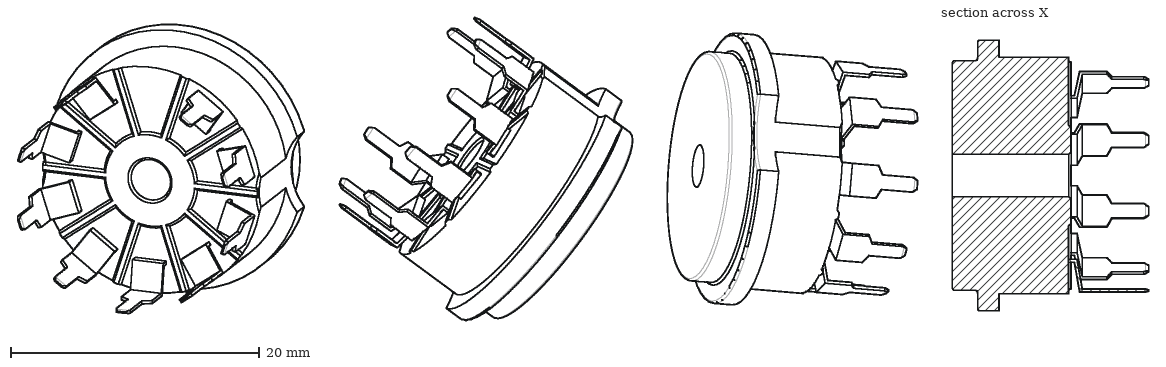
import cadquery as cq
import math


FLANGE_RADIUS = 10.9
FLANGE_THICKNESS = 1.73
BODY_RADIUS = 9.52
BODY_DEPTH = 5.6
RING_RADIUS = 9.25
RING_HEIGHT = 2.04
EDGE_ROUND = 0.2
BORE_RADIUS = 1.7
BORE_CHAMFER = 0.2

RELIEF_HEIGHT = 0.2
HUB_RADIUS = 3.85
RIB_WIDTH = 0.4
SECTORS = 10
SECTOR_ANGLE = 360 / SECTORS

NOTCH_RADIUS = 5.0
NOTCH_DEPTH_RADIUS = 9.28
NOTCH_CENTRE = NOTCH_DEPTH_RADIUS + NOTCH_RADIUS
NOTCH_CHAMFER = 0.2

STRIP_THICKNESS = 0.27
STUB_RADIUS = 6.71
LEG_RADIUS = 9.11
SLANT_ANGLE = 10
STUB_BEND_DEPTH = 6.27
PIN_WIDTH = 2.65
TAIL_WIDTH = 1.2
SHOULDER_START = 8.67
SHOULDER_END = 9.07
PIN_END = 12.04
TIP_WIDTH = 0.7
TIP_LENGTH = 0.4
TIP_BEVEL_LENGTH = 0.3
TIP_BEVEL = 0.08

FACE_DEPTH = BODY_DEPTH + RELIEF_HEIGHT


def disc(radius, y_start, y_end):
    """Cylinder about the Y axis between two Y positions."""
    return cq.Workplane("XZ", origin=(0, y_start, 0)).circle(radius).extrude(y_start - y_end)


def notch_cutter(side, y_start, y_end):
    """Cylinder that scoops one side of the socket."""
    return disc(NOTCH_RADIUS, y_start, y_end).translate((side * NOTCH_CENTRE, 0, 0))


def cut_notches(shape, y_start, y_end):
    for side in (-1, 1):
        shape = shape.cut(notch_cutter(side, y_start, y_end))
    return shape


def make_flange():
    """Notched flange with a rounded back edge."""
    flange = cut_notches(disc(FLANGE_RADIUS, 0, FLANGE_THICKNESS), 0, FLANGE_THICKNESS)
    return flange.faces(">Y").edges().fillet(EDGE_ROUND)


def make_ring():
    """Valve-side ring with a rounded rim and a fillet where it meets the flange."""
    rim = RING_RADIUS
    base = FLANGE_THICKNESS
    top = base + RING_HEIGHT
    ring = (
        cq.Workplane("XY")
        .moveTo(0, base)
        .lineTo(rim + EDGE_ROUND, base)
        .radiusArc((rim, base + EDGE_ROUND), EDGE_ROUND)
        .lineTo(rim, top - EDGE_ROUND)
        .radiusArc((rim - EDGE_ROUND, top), -EDGE_ROUND)
        .lineTo(0, top)
        .close()
        .revolve(360, (0, 0, 0), (0, 1, 0))
    )
    return cut_notches(ring, base, top)


def make_front_body():
    """Notched cylinder in front of the flange, chamfered along the notches."""
    body = cut_notches(disc(BODY_RADIUS, 0, -BODY_DEPTH), 0, -BODY_DEPTH)
    for side in ("<X", ">X"):
        body = body.faces("<Y").edges(side).chamfer(NOTCH_CHAMFER)
    return body


def make_hub():
    """Raised disc around the bore with a sloping edge."""
    return (
        cq.Workplane("XZ", origin=(0, -BODY_DEPTH, 0))
        .circle(HUB_RADIUS + RELIEF_HEIGHT)
        .workplane(offset=RELIEF_HEIGHT)
        .circle(HUB_RADIUS)
        .loft(ruled=True)
    )


def make_ribs():
    """Sloped ribs that part the front face into sectors."""
    half_top = RIB_WIDTH / 2
    half_base = half_top + RELIEF_HEIGHT
    rib = (
        cq.Workplane("YZ")
        .polyline(
            [
                (-BODY_DEPTH, -half_base),
                (-FACE_DEPTH, -half_top),
                (-FACE_DEPTH, half_top),
                (-BODY_DEPTH, half_base),
            ]
        )
        .close()
        .extrude(FLANGE_RADIUS)
    )
    ribs = rib
    for sector in range(1, SECTORS):
        ribs = ribs.union(rib.rotate((0, 0, 0), (0, 1, 0), sector * SECTOR_ANGLE))
    ribs = ribs.intersect(disc(BODY_RADIUS, 0, -FACE_DEPTH))
    return cut_notches(ribs, 0, -FACE_DEPTH)


def make_socket():
    socket = make_flange().union(make_ring()).union(make_front_body())
    socket = socket.union(make_hub()).union(make_ribs())
    socket = socket.cut(disc(BORE_RADIUS, FLANGE_THICKNESS + RING_HEIGHT, -FACE_DEPTH))
    bore_rim = cq.selectors.RadiusNthSelector(0)
    return socket.faces("<Y").edges("%CIRCLE").edges(bore_rim).chamfer(BORE_CHAMFER)


def make_pin():
    """Cranked strip pin at the -Z position, its stub standing on the front face."""
    slant_drop = (LEG_RADIUS - STUB_RADIUS) * math.tan(math.radians(SLANT_ANGLE))
    mitre = STRIP_THICKNESS * math.tan(math.radians((90 - SLANT_ANGLE) / 2))
    leg_bend_depth = STUB_BEND_DEPTH + slant_drop
    stub_outer = STUB_RADIUS + STRIP_THICKNESS
    leg_outer = LEG_RADIUS + STRIP_THICKNESS
    bevel_depth = PIN_END - TIP_BEVEL_LENGTH
    strip = (
        cq.Workplane("YZ")
        .polyline(
            [
                (-BODY_DEPTH, -STUB_RADIUS),
                (-STUB_BEND_DEPTH, -STUB_RADIUS),
                (-leg_bend_depth, -LEG_RADIUS),
                (-bevel_depth, -LEG_RADIUS),
                (-PIN_END, -LEG_RADIUS - TIP_BEVEL),
                (-PIN_END, -leg_outer + TIP_BEVEL),
                (-bevel_depth, -leg_outer),
                (mitre - leg_bend_depth, -leg_outer),
                (mitre - STUB_BEND_DEPTH, -stub_outer),
                (-BODY_DEPTH, -stub_outer),
            ]
        )
        .close()
        .extrude(PIN_WIDTH / 2, both=True)
    )
    right_side = [
        (PIN_WIDTH / 2, -BODY_DEPTH),
        (PIN_WIDTH / 2, -SHOULDER_START),
        (TAIL_WIDTH / 2, -SHOULDER_END),
        (TAIL_WIDTH / 2, TIP_LENGTH - PIN_END),
        (TIP_WIDTH / 2, -PIN_END),
    ]
    left_side = [(-x, y) for x, y in reversed(right_side)]
    blank = cq.Workplane("XY").polyline(right_side + left_side).close().extrude(-FLANGE_RADIUS)
    return strip.intersect(blank)


def make_pins():
    """One pin in every sector except the top one."""
    pin = make_pin()
    top_sector = SECTORS // 2
    return [
        pin.rotate((0, 0, 0), (0, 1, 0), sector * SECTOR_ANGLE)
        for sector in range(SECTORS)
        if sector != top_sector
    ]


socket = make_socket()
pins = make_pins()
result = cq.Compound.makeCompound([socket.val(), *[pin.val() for pin in pins]])